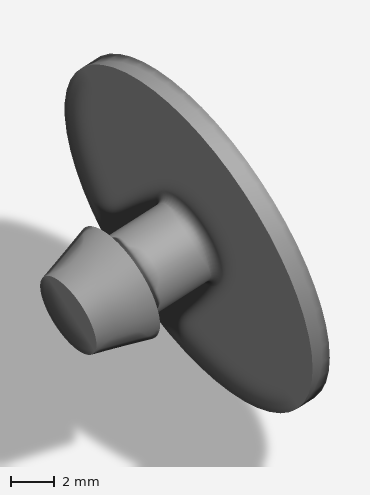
import cadquery as cq

flange_diameter = 18.5
flange_thickness = 1.0
total_length = 8.0
stem_diameter = 4.2
barb_diameter = 6.0
barb_length = 3.0
tip_diameter = stem_diameter
fillet_radius = 0.4

flange_radius = flange_diameter / 2
stem_radius = stem_diameter / 2
barb_radius = barb_diameter / 2
tip_radius = tip_diameter / 2
flange_face_y = -flange_thickness
tip_y = -total_length
barb_shoulder_y = tip_y + barb_length
fillet_outer_radius = stem_radius + fillet_radius

profile = (
    cq.Workplane("XY")
    .moveTo(0, 0)
    .lineTo(flange_radius, 0)
    .lineTo(flange_radius, flange_face_y)
    .lineTo(fillet_outer_radius, flange_face_y)
    .radiusArc((stem_radius, flange_face_y - fillet_radius), -fillet_radius)
    .lineTo(stem_radius, barb_shoulder_y + fillet_radius)
    .radiusArc((fillet_outer_radius, barb_shoulder_y), -fillet_radius)
    .lineTo(barb_radius, barb_shoulder_y)
    .lineTo(tip_radius, tip_y)
    .lineTo(0, tip_y)
    .close()
)

result = profile.revolve(360, (0, 0, 0), (0, 1, 0))